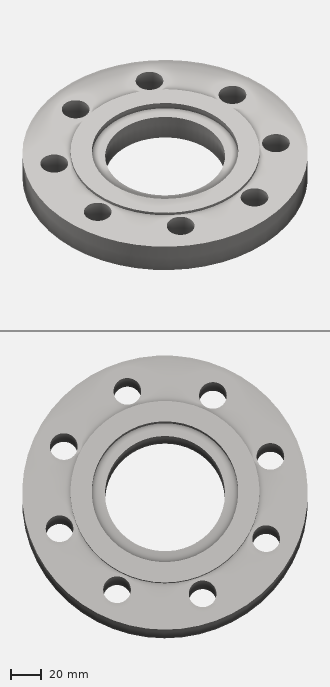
import cadquery as cq

flange_diameter = 185.0
total_height = 22.0
face_diameter = 122.5
face_height = 2.0
disc_height = total_height - face_height

bore_diameter = 77.7
recess_diameter = 94.9
recess_depth = 4.5

bolt_count = 8
bolt_hole_diameter = 18.0
bolt_circle_diameter = 145.0
bolt_start_angle = 180.0 / bolt_count


def make_body():
    """Flange disc standing on Z = 0 with the raised face on top."""
    disc = cq.Workplane("XY").circle(flange_diameter / 2).extrude(disc_height)
    return disc.faces(">Z").workplane().circle(face_diameter / 2).extrude(face_height)


def cut_opening(body):
    """Through bore with a wider recess at the raised face."""
    return body.faces(">Z").workplane().cboreHole(bore_diameter, recess_diameter, recess_depth)


def cut_bolt_holes(body):
    """Ring of through holes outside the raised face."""
    holes = (
        cq.Workplane("XY")
        .polarArray(bolt_circle_diameter / 2, bolt_start_angle, 360, bolt_count)
        .circle(bolt_hole_diameter / 2)
        .extrude(total_height)
    )
    return body.cut(holes)


result = cut_bolt_holes(cut_opening(make_body()))